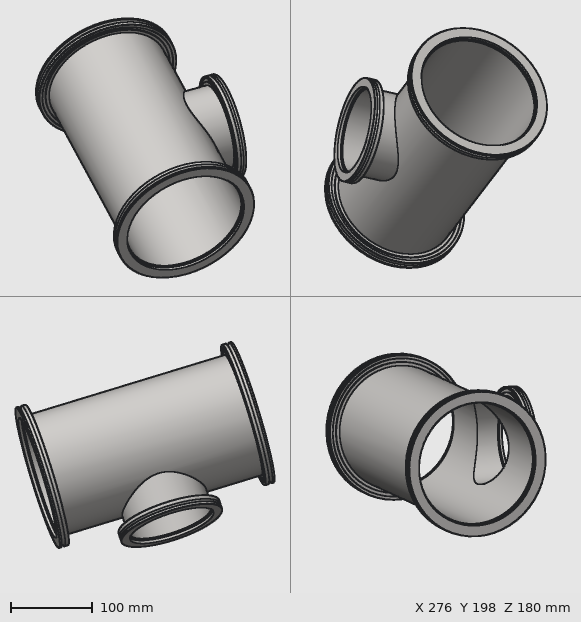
import cadquery as cq

length = 276.0
main_tube_od = 154.0
wall = 2.0
main_flange_od = 180.0

branch_reach = 108.0
branch_tube_od = 108.0
branch_flange_od = 130.0

main_groove_start = 2.8
main_groove_width = 4.4
main_groove_depth = 2.6
branch_groove_start = 3.8
branch_groove_width = 3.0
branch_groove_depth = 2.0
groove_wall_depth = 0.5

flange_thickness = 12.2
rim_chamfer = 0.5
tube_end_setback = 6.0
mouth_depth = 4.0
mouth_inset = 0.4
lip_inset = 1.1
relief_lip = 4.3
relief_width = 4.5
relief_depth = 2.0

main_bore = main_tube_od - 2 * wall
branch_bore = branch_tube_od - 2 * wall


def make_flange(outer_diameter, tube_od, groove_start, groove_width, groove_depth):
    """Grooved clamp flange around Z with its sealing face at Z = 0 and its body towards -Z."""
    rim = outer_diameter / 2
    seat = tube_od / 2
    mouth = seat - mouth_inset
    lip = seat - lip_inset
    back = -flange_thickness
    groove_wall_foot = rim - groove_wall_depth
    groove_near = -groove_start
    groove_far = groove_near - groove_width
    groove_middle = (groove_near + groove_far) / 2
    relief_inner = seat + relief_lip
    relief_outer = relief_inner + relief_width
    relief_floor = back + relief_depth
    section = (
        cq.Workplane("XZ")
        .moveTo(mouth, 0)
        .lineTo(rim - rim_chamfer, 0)
        .lineTo(rim, -rim_chamfer)
        .lineTo(rim, groove_near)
        .lineTo(groove_wall_foot, groove_near)
        .threePointArc((rim - groove_depth, groove_middle), (groove_wall_foot, groove_far))
        .lineTo(rim, groove_far)
        .lineTo(rim, back + rim_chamfer)
        .lineTo(rim - rim_chamfer, back)
        .lineTo(relief_outer, back)
        .lineTo(relief_outer, relief_floor)
        .lineTo(relief_inner, relief_floor)
        .lineTo(relief_inner, back)
        .lineTo(seat, back)
        .lineTo(seat, -tube_end_setback)
        .lineTo(lip, -tube_end_setback)
        .lineTo(lip, -mouth_depth)
        .lineTo(mouth, -mouth_depth)
        .close()
    )
    return section.revolve(360, (0, 0, 0), (0, 1, 0))


def make_tee_tube():
    """Main tube with the branch tube joined to it and both bores open into each other."""
    main_length = length - 2 * tube_end_setback
    branch_length = branch_reach - tube_end_setback
    main_plane = cq.Workplane("YZ", origin=(-main_length / 2, 0, 0))
    branch_plane = cq.Workplane("XZ")
    outside = main_plane.circle(main_tube_od / 2).extrude(main_length).union(
        branch_plane.circle(branch_tube_od / 2).extrude(-branch_length)
    )
    main_hole = main_plane.circle(main_bore / 2).extrude(main_length)
    branch_hole = branch_plane.circle(branch_bore / 2).extrude(-branch_length)
    return outside.cut(main_hole).cut(branch_hole)


tee_tube = make_tee_tube()

end_flanges = []
for side in (-1, 1):
    flange = make_flange(
        main_flange_od, main_tube_od, main_groove_start, main_groove_width, main_groove_depth
    )
    turned = flange.rotate((0, 0, 0), (0, 1, 0), side * 90)
    end_flanges.append(turned.translate((side * length / 2, 0, 0)))

branch_flange = make_flange(
    branch_flange_od, branch_tube_od, branch_groove_start, branch_groove_width, branch_groove_depth
)
branch_flange = branch_flange.rotate((0, 0, 0), (1, 0, 0), -90).translate((0, branch_reach, 0))

result = cq.Compound.makeCompound(
    [tee_tube.val(), *[flange.val() for flange in end_flanges], branch_flange.val()]
)